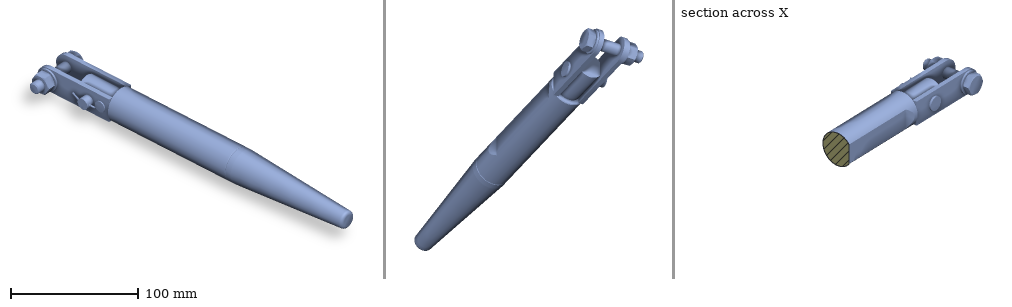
import cadquery as cq
import math


part_length = 313.0
plate_width = 22.0
part_end = part_length - plate_width / 2

tube_diameter = 30.0
tube_start = 64.0
groove_x = 187.0
groove_width = 1.0
groove_depth = 0.3
taper_start = 192.5
tip_diameter = 15.3
tip_fillet = 2.8
tube_chamfer = 0.5

flat_start = 68.2
flat_end = 166.8
flat_ramp = 7.5
flat_depth = 2.8

plate_thickness = 4.0
fork_gap = 18.0
fork_y = 0.3
core_diameter = 22.0
core_start = 29.0
upper_plate_y = fork_y + fork_gap / 2 + plate_thickness
lower_plate_y = fork_y - fork_gap / 2 - plate_thickness

bolt_diameter = 10.0
bolt_tip_y = -29.7
bolt_chamfer = 1.0
hex_corners = 18.5
hex_face_diameter = 15.5
hex_chamfer_angle = 30.0
head_top_y = 21.5
head_turn = -7.0
nut_height = 8.0
washer_diameter = 20.0
washer_thickness = 1.5

pin_x = 42.3
pin_diameter = 10.0
pin_tip_y = -20.0
pin_head_diameter = 12.5
pin_head_height = 2.0
plug_x = 54.8
plug_height = 1.0

split_pin_y = -17.2
leg_tilt = 20.0
eye_tilt = 45.0
wire_diameter = 1.5
eye_radius = 1.5
eye_distance = 8.0
bend_distance = 6.5
long_leg_reach = 11.0
long_leg_spread = 6.0
short_leg_reach = 8.5
short_leg_spread = -4.5


def y_cylinder(x, y_low, y_high, diameter):
    """Solid cylinder along Y between two heights."""
    plane = cq.Workplane("XZ", origin=(x, y_high, 0))
    return plane.circle(diameter / 2).extrude(y_high - y_low)


def hex_block(y_low, y_high, turn):
    """Hexagon along Y with the corners of both ends taken off by cones."""
    hexagon = (
        cq.Workplane("XZ", origin=(0, y_high, 0))
        .polygon(6, hex_corners)
        .extrude(y_high - y_low)
        .rotate((0, 0, 0), (0, 1, 0), turn)
    )
    corner_radius = hex_corners / 2
    face_radius = hex_face_diameter / 2
    bevel = (corner_radius - face_radius) * math.tan(math.radians(hex_chamfer_angle))
    envelope = (
        cq.Workplane("XY")
        .moveTo(0, y_low)
        .lineTo(face_radius, y_low)
        .lineTo(corner_radius, y_low + bevel)
        .lineTo(corner_radius, y_high - bevel)
        .lineTo(face_radius, y_high)
        .lineTo(0, y_high)
        .close()
        .revolve(360, (0, 0, 0), (0, 1, 0))
    )
    return hexagon.intersect(envelope)


def make_tube():
    """Turned tube with a shallow groove, a long taper and a rounded tip."""
    radius = tube_diameter / 2
    tube = (
        cq.Workplane("XZ")
        .moveTo(tube_start, 0)
        .lineTo(tube_start, radius - tube_chamfer)
        .lineTo(tube_start + tube_chamfer, radius)
        .lineTo(groove_x - groove_width / 2, radius)
        .lineTo(groove_x, radius - groove_depth)
        .lineTo(groove_x + groove_width / 2, radius)
        .lineTo(taper_start, radius)
        .lineTo(part_end, tip_diameter / 2)
        .lineTo(part_end, 0)
        .close()
        .revolve(360, (0, 0, 0), (1, 0, 0))
    )
    return tube.faces(">X").edges().fillet(tip_fillet)


def make_flat_cutter():
    """Prism that leaves a flat with a ramp at each end."""
    radius = tube_diameter / 2
    floor_y = radius - flat_depth
    return (
        cq.Workplane("XY", origin=(0, 0, -radius))
        .moveTo(flat_start, radius)
        .lineTo(flat_start + flat_ramp, floor_y)
        .lineTo(flat_end - flat_ramp, floor_y)
        .lineTo(flat_end, radius)
        .close()
        .extrude(tube_diameter)
    )


def make_plate(y_high):
    """Fork plate with a round end about the bolt axis."""
    half_width = plate_width / 2
    return (
        cq.Workplane("XZ", origin=(0, y_high, 0))
        .moveTo(tube_start, -half_width)
        .lineTo(0, -half_width)
        .threePointArc((-half_width, 0), (0, half_width))
        .lineTo(tube_start, half_width)
        .close()
        .extrude(plate_thickness)
    )


def make_core():
    """Round bar that fills the fork in front of the tube."""
    plane = cq.Workplane("YZ", origin=(core_start, 0, 0))
    return plane.circle(core_diameter / 2).extrude(tube_start - core_start)


def make_bolt():
    """Bolt with a hexagon head, a washer on each side and a nut."""
    head_seat_y = upper_plate_y + washer_thickness
    nut_seat_y = lower_plate_y - washer_thickness
    bolt = y_cylinder(0, bolt_tip_y, head_seat_y, bolt_diameter).faces("<Y").chamfer(bolt_chamfer)
    bolt = bolt.union(y_cylinder(0, upper_plate_y, head_seat_y, washer_diameter))
    bolt = bolt.union(hex_block(head_seat_y, head_top_y, head_turn))
    bolt = bolt.union(y_cylinder(0, nut_seat_y, lower_plate_y, washer_diameter))
    return bolt.union(hex_block(nut_seat_y - nut_height, nut_seat_y, 0))


def make_clevis_pin():
    """Headed pin across the fork."""
    head_y = upper_plate_y + pin_head_height
    pin = y_cylinder(pin_x, pin_tip_y, upper_plate_y, pin_diameter)
    return pin.union(y_cylinder(pin_x, upper_plate_y, head_y, pin_head_diameter))


def make_plug():
    """Low round plug on the -Y plate."""
    return y_cylinder(plug_x, lower_plate_y - plug_height, lower_plate_y, pin_diameter)


def make_wire(start, end):
    """Straight piece of round wire between two points."""
    direction = cq.Vector(*end) - cq.Vector(*start)
    radius = wire_diameter / 2
    return cq.Workplane(cq.Solid.makeCylinder(radius, direction.Length, cq.Vector(*start), direction))


def make_split_pin():
    """Split pin: an eye on the +X side and two bent legs on the -X side."""
    centre = (0, 0, 0)
    axis_end = (1, 0, 0)
    bend = (-bend_distance, 0, 0)
    eye_centre = cq.Vector(eye_distance, 0, 0)
    eye = cq.Workplane(
        cq.Solid.makeTorus(eye_radius, wire_diameter / 2, eye_centre, cq.Vector(0, 1, 0))
    )
    legs = cq.Workplane("XY", origin=bend).sphere(wire_diameter / 2)
    for reach, spread in ((long_leg_reach, long_leg_spread), (short_leg_reach, short_leg_spread)):
        legs = legs.union(make_wire(bend, (-reach, 0, spread)))
    split_pin = make_wire(bend, (eye_distance - eye_radius, 0, 0))
    split_pin = split_pin.union(eye.rotate(centre, axis_end, eye_tilt))
    split_pin = split_pin.union(legs.rotate(centre, axis_end, leg_tilt))
    return split_pin.translate((pin_x, split_pin_y, 0))


result = make_tube().cut(make_flat_cutter())
for plate_y in (upper_plate_y, lower_plate_y + plate_thickness):
    result = result.union(make_plate(plate_y))
for piece in (make_core(), make_bolt(), make_clevis_pin(), make_plug(), make_split_pin()):
    result = result.union(piece)